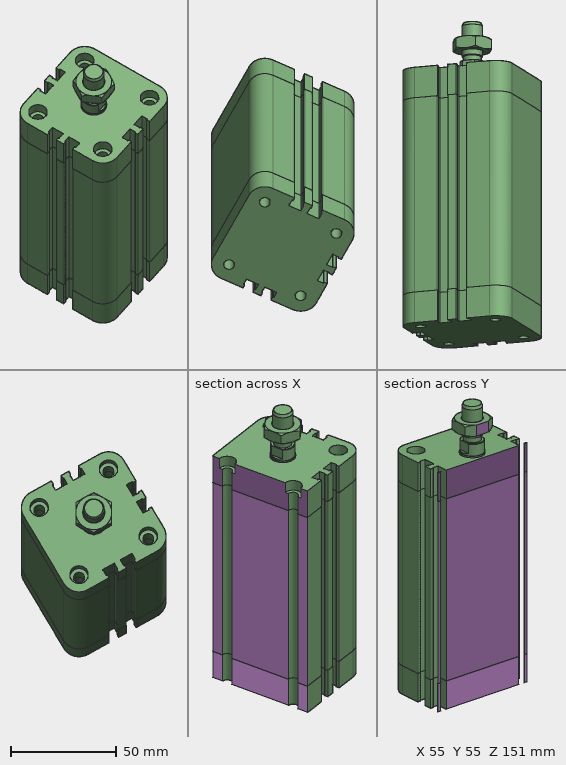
import cadquery as cq
import math

SIDE = 55.0
CORNER_RADIUS = 8.5
BOLT_SPACING = 38.0
BOLT_HOLE_DIAMETER = 5.1

TOTAL_HEIGHT = 151.0
HOUSING_HEIGHT = 125.0
CAP_HEIGHT = 15.0
BARREL_HEIGHT = HOUSING_HEIGHT - 2 * CAP_HEIGHT

SLOT_DEPTH = 5.0
LIP_DEPTH = 1.8
SLOT_OUTER = 8.0
OPENING_OUTER = 7.4
RIB_LIP_HALF = 2.1
RIB_NECK_HALF = 1.7
BARREL_LIP_ROUNDING = 0.3
SLOTTED_SIDE_ANGLES = (-90, 0, 90)

SCREW_RECESS_DIAMETER = 8.8
SCREW_RECESS_DEPTH = 5.5
COLLAR_DIAMETER = 12.4
COLLAR_HEIGHT = 0.8

ROD_DIAMETER = 11.8
ROD_FLAT_WIDTH = 10.0
THREAD_DIAMETER = 10.0
NECK_DIAMETER = 8.8
ROD_TIP_BEVEL = 0.6
ROD_TIP_BEVEL_HEIGHT = 1.5
FLAT_BOTTOM = 127.0
FLAT_RAMP_HEIGHT = 0.5
SHOULDER_HEIGHT = 132.1
SHOULDER_BEVEL = 0.3
THREAD_END_BEVEL = 0.3
THREAD_BOTTOM = 134.5

NUT_WIDTH = 17.0
NUT_HEIGHT = 5.9
NUT_BOTTOM = 137.3
NUT_BEVEL_ANGLE = 30
NUT_COUNTERSINK = 0.3
NUT_TURN = 30


def bolt_positions(height):
    """Workplane at the given height with the four bolt axes selected."""
    plane = cq.Workplane("XY").workplane(offset=height)
    return plane.rect(BOLT_SPACING, BOLT_SPACING, forConstruction=True).vertices()


def slot_cutter(height):
    """T-shaped slot on the -Y side, to the right of the rib."""
    face = -SIDE / 2
    opening_width = OPENING_OUTER - RIB_LIP_HALF
    opening = cq.Workplane("XY").box(opening_width, LIP_DEPTH, height, centered=False)
    opening = opening.translate((RIB_LIP_HALF, face, 0))
    channel_width = SLOT_OUTER - RIB_NECK_HALF
    channel = cq.Workplane("XY").box(channel_width, SLOT_DEPTH - LIP_DEPTH, height, centered=False)
    channel = channel.translate((RIB_NECK_HALF, face + LIP_DEPTH, 0))
    return opening.union(channel)


def slotted_block(height):
    """Rounded square block with bolt holes and slots, standing on Z = 0."""
    block = cq.Workplane("XY").rect(SIDE, SIDE).extrude(height).edges("|Z").fillet(CORNER_RADIUS)
    holes = bolt_positions(0).circle(BOLT_HOLE_DIAMETER / 2).extrude(height)
    block = block.cut(holes)
    right_slot = slot_cutter(height)
    for slot in (right_slot, right_slot.mirror("YZ")):
        for angle in SLOTTED_SIDE_ANGLES:
            block = block.cut(slot.rotate((0, 0, 0), (0, 0, 1), angle))
    return block


def slot_mouth_edges(block, height):
    """Upright outer edges of all slot openings."""
    half = SIDE / 2
    points = []
    for offset in (RIB_LIP_HALF, OPENING_OUTER):
        for sign in (-1, 1):
            points += [(sign * offset, -half), (-half, sign * offset), (half, sign * offset)]
    edges = []
    for x, y in points:
        edges += block.edges(cq.selectors.NearestToPointSelector((x, y, height / 2))).vals()
    return block.newObject(edges)


def make_rear_cap():
    """Plain slotted end block."""
    return slotted_block(CAP_HEIGHT)


def make_barrel():
    """Long profile between the caps, with rounded slot mouths."""
    barrel = slotted_block(BARREL_HEIGHT)
    barrel = slot_mouth_edges(barrel, BARREL_HEIGHT).fillet(BARREL_LIP_ROUNDING)
    return barrel.translate((0, 0, CAP_HEIGHT))


def make_front_cap():
    """End block with screw recesses and a collar around the rod."""
    cap = slotted_block(CAP_HEIGHT)
    recesses = bolt_positions(CAP_HEIGHT).circle(SCREW_RECESS_DIAMETER / 2).extrude(-SCREW_RECESS_DEPTH)
    collar = cq.Workplane("XY").workplane(offset=CAP_HEIGHT).circle(COLLAR_DIAMETER / 2)
    collar = collar.extrude(COLLAR_HEIGHT)
    rod_hole = cq.Workplane("XY").circle(ROD_DIAMETER / 2).extrude(CAP_HEIGHT + COLLAR_HEIGHT)
    cap = cap.cut(recesses).union(collar).cut(rod_hole)
    return cap.translate((0, 0, HOUSING_HEIGHT - CAP_HEIGHT))


def make_rod():
    """Stepped rod with two flats, a relief neck and a smooth threaded end."""
    bottom = HOUSING_HEIGHT - CAP_HEIGHT
    rod_radius = ROD_DIAMETER / 2
    neck_radius = NECK_DIAMETER / 2
    thread_radius = THREAD_DIAMETER / 2
    rod = (
        cq.Workplane("XZ")
        .moveTo(0, bottom)
        .lineTo(rod_radius, bottom)
        .lineTo(rod_radius, SHOULDER_HEIGHT - SHOULDER_BEVEL)
        .lineTo(rod_radius - SHOULDER_BEVEL, SHOULDER_HEIGHT)
        .lineTo(neck_radius, SHOULDER_HEIGHT)
        .lineTo(neck_radius, THREAD_BOTTOM)
        .lineTo(thread_radius, THREAD_BOTTOM + THREAD_END_BEVEL)
        .lineTo(thread_radius, TOTAL_HEIGHT - ROD_TIP_BEVEL_HEIGHT)
        .lineTo(thread_radius - ROD_TIP_BEVEL, TOTAL_HEIGHT)
        .lineTo(0, TOTAL_HEIGHT)
        .close()
        .revolve(360, (0, 0), (0, 1))
    )
    flat_x = ROD_FLAT_WIDTH / 2
    flat = (
        cq.Workplane("XZ")
        .moveTo(flat_x, FLAT_BOTTOM)
        .lineTo(rod_radius, FLAT_BOTTOM - FLAT_RAMP_HEIGHT)
        .lineTo(rod_radius, SHOULDER_HEIGHT)
        .lineTo(flat_x, SHOULDER_HEIGHT)
        .close()
        .extrude(rod_radius, both=True)
    )
    rod = rod.cut(flat).cut(flat.mirror("YZ"))
    return rod


def make_nut():
    """Hexagon nut, bevelled at both ends and countersunk on the thread."""
    corner_radius = NUT_WIDTH / math.sqrt(3)
    bevel_radius = NUT_WIDTH / 2
    bevel_height = (corner_radius - bevel_radius) * math.tan(math.radians(NUT_BEVEL_ANGLE))
    hexagon = cq.Workplane("XY").polygon(6, 2 * corner_radius).extrude(NUT_HEIGHT)
    hexagon = hexagon.rotate((0, 0, 0), (0, 0, 1), NUT_TURN)
    bevel_envelope = (
        cq.Workplane("XZ")
        .moveTo(0, 0)
        .lineTo(bevel_radius, 0)
        .lineTo(corner_radius, bevel_height)
        .lineTo(corner_radius, NUT_HEIGHT - bevel_height)
        .lineTo(bevel_radius, NUT_HEIGHT)
        .lineTo(0, NUT_HEIGHT)
        .close()
        .revolve(360, (0, 0), (0, 1))
    )
    thread_hole = cq.Workplane("XY").circle(THREAD_DIAMETER / 2).extrude(NUT_HEIGHT)
    nut = hexagon.intersect(bevel_envelope).cut(thread_hole)
    nut = nut.edges(cq.selectors.RadiusNthSelector(0)).chamfer(NUT_COUNTERSINK)
    return nut.translate((0, 0, NUT_BOTTOM))


rear_cap = make_rear_cap()
barrel = make_barrel()
front_cap = make_front_cap()
rod = make_rod()
nut = make_nut()

result = cq.Compound.makeCompound(
    [rear_cap.val(), barrel.val(), front_cap.val(), rod.val(), nut.val()]
)